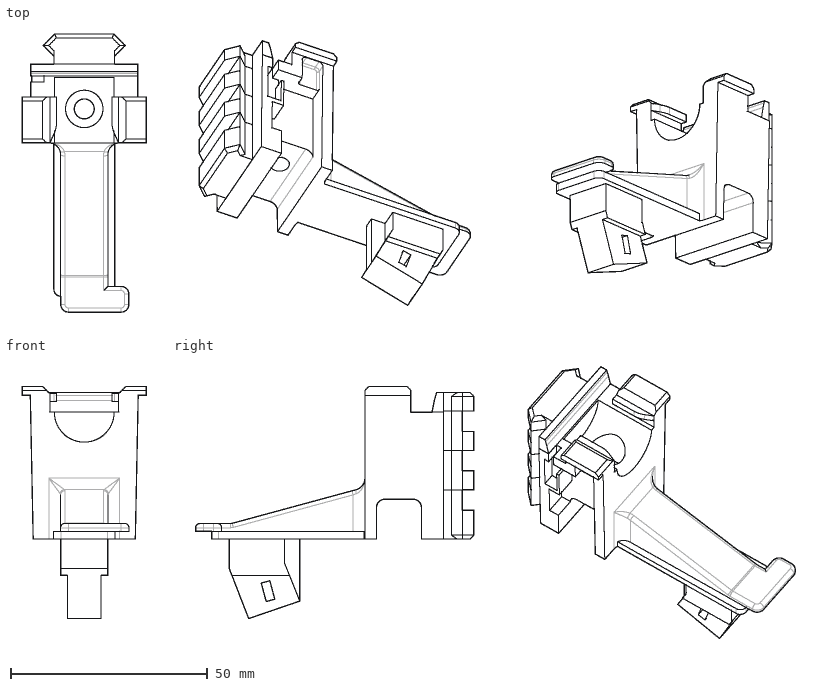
import cadquery as cq
import math


base_half_width = 13.0
side_draft = math.radians(1.15)
front_plate = 3.0
block_back = 20.0
ledge_z = 32.25
jaw_length = 11.7

jaw_top = 38.79
flange_height = 2.24
flange_half_width = 15.75
jaw_chamfer = 1.0
flange_bottom = jaw_top - flange_height

saddle_length = 16.6
saddle_radius = 7.6
jaw_gap_half = 8.73
lead_in = 1.82
bump_top = jaw_top - lead_in
bump_height = 2.0
bump_half_gap = 7.05
bump_arc_start = 5.1
bump_arc_end = (7.72, 2.24)

lip_top = 37.26
lip_half_width = 13.6
lip_foot_y = 17.02
lip_top_y = 18.18
lip_round_bottom = (17.62, 35.2)
lip_round_top = (18.0, 36.55)

arch_back = 14.33
arch_top = 10.1
arch_radius = 2.0
screw_y = 8.65
screw_diameter = 5.0
counterbore_diameter = 9.5
counterbore_floor = 15.0

recess_floor_x = -7.8
recess_top = 28.84
recess_back = 13.88
notch_back = 17.06
notch_bottom = 7.84
notch_top = 17.0
pocket_floor_x = -10.2
pocket_back = 18.36
pocket_front = 14.6
pocket_bottom = 18.36
pocket_lip_z = 25.5
slot_front = 15.5
window_floor_x = -11.1
window_back = 8.75
window_top = 36.4
window_corner = 1.1
window_floor_fillet = 0.5

arm_half_width = 6.0
arm_underside = 2.0
arm_tip_top = 4.0
arm_tip_y = -43.0
arm_root_z = 13.2
arm_slope_end = -33.9
arm_rib_end = -33.0
hook_x = 11.35
hook_back = -36.4
tip_radius = 2.0
arm_edge_fillet = 1.1
arm_root_fillet = 3.0
slope_foot_fillet = 1.4
strip_half_width = 7.75
strip_tip_y = -38.95
strip_corner = 1.8

lug_tip = (-29.53, -20.2)
lug_kink = (-34.48, -7.43)
lug_heel = (-16.52, -15.75)
lug_knee = (-20.38, -6.18)
lug_shoulder_z = -9.2
lug_shoulder_half_width = 6.0
lug_half_width = 4.3
lug_web_half_width = 1.5
lug_window_center = (-24.6, -13.2)
lug_window_width = 2.2
lug_window_height = 4.8
lug_window_tilt = 15.0

rail_back = 27.7
rail_back_half = 7.5
rail_neck_half = 7.73
rail_flank = 2.95
rail_chamfer = 1.0
rail_pitch = 10.0
rail_slot = 5.1
rail_split = 2.5
segment_count = 4

TOL = 0.01


def box(x0, x1, y0, y1, z0, z1):
    """Box between two corners."""
    return cq.Workplane("XY").box(x1 - x0, y1 - y0, z1 - z0, centered=False).translate((x0, y0, z0))


def side_prism(outline, half_width):
    """Prism of a (y, z) outline, centred on X = 0."""
    return cq.Workplane("YZ").polyline(outline).close().extrude(half_width, both=True)


def clamp_block():
    """Block with jaw posts and arch, its two sides drafted."""
    profile = (
        cq.Workplane("YZ")
        .moveTo(0, 0)
        .lineTo(0, flange_bottom)
        .lineTo(jaw_length, flange_bottom)
        .lineTo(jaw_length, ledge_z)
        .lineTo(block_back, ledge_z)
        .lineTo(block_back, 0)
        .lineTo(arch_back, 0)
        .lineTo(arch_back, arch_top - arch_radius)
        .radiusArc((arch_back - arch_radius, arch_top), -arch_radius)
        .lineTo(front_plate + arch_radius, arch_top)
        .radiusArc((front_plate, arch_top - arch_radius), -arch_radius)
        .lineTo(front_plate, 0)
        .close()
        .extrude(flange_half_width, both=True)
    )
    top_half_width = base_half_width + jaw_top * math.tan(side_draft)
    sides = (
        cq.Workplane("XZ")
        .polyline([
            (-base_half_width, 0),
            (base_half_width, 0),
            (top_half_width, jaw_top),
            (-top_half_width, jaw_top),
        ])
        .close()
        .extrude(-block_back)
    )
    return profile.intersect(sides)


def back_lip():
    """Upright lip along the back of the ledge, its front leaning back with a rounded bend."""
    return (
        cq.Workplane("YZ")
        .moveTo(block_back, ledge_z)
        .lineTo(lip_foot_y, ledge_z)
        .lineTo(*lip_round_bottom)
        .tangentArcPoint(lip_round_top, relative=False)
        .lineTo(lip_top_y, lip_top)
        .lineTo(block_back, lip_top)
        .close()
        .extrude(lip_half_width, both=True)
    )


def jaw_flange():
    """Wide cap on the jaws, chamfered along its front and back top edges."""
    cap = box(-flange_half_width, flange_half_width, 0, jaw_length, flange_bottom, jaw_top)
    return cap.edges("|X and >Z").chamfer(jaw_chamfer)


def saddle():
    """Space between the jaws: a V lead-in, straight walls and a half-round trough."""
    trough = cq.Workplane("XZ").center(0, ledge_z).circle(saddle_radius).extrude(-saddle_length)
    gap = (
        cq.Workplane("XZ")
        .polyline([
            (-jaw_gap_half, ledge_z),
            (jaw_gap_half, ledge_z),
            (jaw_gap_half, bump_top),
            (jaw_gap_half + lead_in, jaw_top),
            (-jaw_gap_half - lead_in, jaw_top),
            (-jaw_gap_half, bump_top),
        ])
        .close()
        .extrude(-jaw_length)
    )
    trough = trough.intersect(box(-saddle_radius, saddle_radius, 0, saddle_length, 0, ledge_z))
    return trough.union(gap)


def jaw_bump():
    """Retaining bump on the inner wall of the +X jaw, flared towards the front."""
    return (
        cq.Workplane("XY", origin=(0, 0, bump_top - bump_height))
        .moveTo(jaw_gap_half, 0)
        .lineTo(jaw_gap_half, jaw_length)
        .lineTo(bump_half_gap, jaw_length)
        .lineTo(bump_half_gap, bump_arc_start)
        .tangentArcPoint(bump_arc_end, relative=False)
        .close()
        .extrude(bump_height)
    )


def screw_hole():
    """Vertical through hole with a counterbore opening into the saddle."""
    hole = cq.Workplane("XY").center(0, screw_y).circle(screw_diameter / 2).extrude(ledge_z)
    counterbore = (
        cq.Workplane("XY", origin=(0, screw_y, counterbore_floor))
        .circle(counterbore_diameter / 2)
        .extrude(ledge_z - counterbore_floor)
    )
    return hole.union(counterbore)


def side_recesses():
    """Recess behind the front plate with its notch, latch pocket, slot and jaw window."""
    outside = -flange_half_width
    recess = box(outside, recess_floor_x, front_plate, recess_back, 0, recess_top)
    notch = box(outside, recess_floor_x, front_plate, notch_back, notch_bottom, notch_top)
    pocket = box(outside, pocket_floor_x, pocket_front, pocket_back, pocket_bottom, recess_top)
    pocket_opening = box(
        outside, pocket_floor_x, front_plate, pocket_back, pocket_lip_z, recess_top
    )
    slot = box(outside, pocket_floor_x, slot_front, notch_back, recess_top, ledge_z)
    window = (
        box(outside, window_floor_x, front_plate, window_back, arch_top, window_top)
        .edges("|X and >Z")
        .fillet(window_corner)
        .faces(">X")
        .edges()
        .fillet(window_floor_fillet)
    )
    return recess.union(notch).union(pocket).union(pocket_opening).union(slot).union(window)


def is_arm_top_rim(edge):
    """True for the edges around the top of the arm and hook, apart from the lines across the arm."""
    bounds = edge.BoundingBox()
    is_high = bounds.zmin > arm_tip_top - TOL
    is_in_front = bounds.ymin < -TOL
    runs_across = bounds.ylen < TOL and bounds.ymin > hook_back + TOL
    return is_high and is_in_front and not runs_across


def is_arm_root(edge):
    """True for the edges where the arm meets the front face of the clamp, bottom edge excepted."""
    bounds = edge.BoundingBox()
    on_front_face = max(abs(bounds.ymin), abs(bounds.ymax)) < TOL
    within_arm = max(abs(bounds.xmin), abs(bounds.xmax)) < arm_half_width + TOL
    return on_front_face and within_arm and TOL < bounds.zmax < arm_root_z + TOL


def arm():
    """Sloping rib that ends in a flat hook turned towards +X."""
    rib = side_prism(
        [
            (front_plate, 0),
            (front_plate, arm_root_z),
            (0, arm_root_z),
            (arm_slope_end, arm_tip_top),
            (arm_tip_y, arm_tip_top),
            (arm_tip_y, arm_underside),
            (arm_rib_end, arm_underside),
            (arm_rib_end, 0),
        ],
        arm_half_width,
    )
    hook = box(-arm_half_width, hook_x, arm_tip_y, hook_back, arm_underside, arm_tip_top)
    blank = rib.union(hook)
    blank = blank.edges("|Z").edges("<Y or >X").fillet(tip_radius)
    slope_foot = [
        edge for edge in blank.edges("|X").vals() if abs(edge.Center().y - arm_slope_end) < TOL
    ]
    return blank.newObject(slope_foot).fillet(slope_foot_fillet)


def base_strip():
    """Thin strip under the arm, rounded at its front corners."""
    strip = box(-strip_half_width, strip_half_width, strip_tip_y, front_plate, 0, arm_underside)
    return strip.edges("|Z and <Y").fillet(strip_corner)


def lug():
    """Angled lug under the strip: wide shoulder, narrower body, thin web and a through window."""
    def on_slope(start, end, z):
        return start[0] + (end[0] - start[0]) * (z - start[1]) / (end[1] - start[1])

    shoulder = side_prism(
        [
            (lug_knee[0], 0),
            lug_knee,
            (on_slope(lug_knee, lug_heel, lug_shoulder_z), lug_shoulder_z),
            (on_slope(lug_kink, lug_tip, lug_shoulder_z), lug_shoulder_z),
            lug_kink,
            (lug_kink[0], 0),
        ],
        lug_shoulder_half_width,
    )
    body = side_prism(
        [(lug_knee[0], 0), lug_knee, lug_heel, lug_tip, lug_kink, (lug_kink[0], 0)], lug_half_width
    )
    web = side_prism(
        [(lug_heel[0], 0), lug_heel, lug_knee, (lug_knee[0], 0)], lug_web_half_width
    )
    window = (
        cq.Workplane("YZ")
        .center(*lug_window_center)
        .transformed(rotate=(0, 0, lug_window_tilt))
        .rect(lug_window_width, lug_window_height)
        .extrude(lug_shoulder_half_width, both=True)
    )
    return shoulder.union(body).union(web).cut(window)


def clamp_body():
    """Clamp, arm and lug in one piece."""
    body = clamp_block().union(jaw_flange()).union(back_lip()).cut(saddle())
    body = body.cut(screw_hole()).cut(side_recesses())
    bump = jaw_bump()
    body = body.union(bump).union(bump.mirror("YZ"))
    body = body.union(arm())
    root = [edge for edge in body.edges().vals() if is_arm_root(edge)]
    body = body.newObject(root).fillet(arm_root_fillet)
    top_rim = [edge for edge in body.edges().vals() if is_arm_top_rim(edge)]
    body = body.newObject(top_rim).fillet(arm_edge_fillet)
    return body.union(base_strip()).union(lug())


def rail_blank():
    """Full-height dovetail rail, chamfered around both ends of its head."""
    widest = rail_back_half + rail_flank
    widest_y = rail_back - rail_flank
    head_front = widest_y - (widest - rail_neck_half)
    head = (
        cq.Workplane("XY")
        .polyline([
            (-rail_back_half, rail_back),
            (rail_back_half, rail_back),
            (widest, widest_y),
            (rail_neck_half, head_front),
            (-rail_neck_half, head_front),
            (-widest, widest_y),
        ])
        .close()
        .extrude(lip_top)
    )
    head = head.faces("<Z or >Z").edges("not <Y").chamfer(rail_chamfer)
    neck = box(-rail_neck_half, rail_neck_half, block_back, widest_y, 0, lip_top)
    return head.union(neck)


def rail_segments():
    """Rail pieces stacked in Z; each one below the topmost starts with a cross slot."""
    blank = rail_blank()
    slot_floor = rail_back - rail_flank
    reach = rail_back_half + rail_flank
    segments = []
    for index in range(segment_count):
        bottom = index * rail_pitch + rail_split if index else 0
        is_topmost = index == segment_count - 1
        top = lip_top if is_topmost else (index + 1) * rail_pitch + rail_split
        segment = blank.intersect(box(-reach, reach, block_back, rail_back, bottom, top))
        if not is_topmost:
            segment = segment.cut(box(-reach, reach, slot_floor, rail_back, top - rail_slot, top))
        segments.append(segment)
    return segments


clamp = clamp_body()
rail = rail_segments()
result = cq.Compound.makeCompound([clamp.val(), *[segment.val() for segment in rail]])